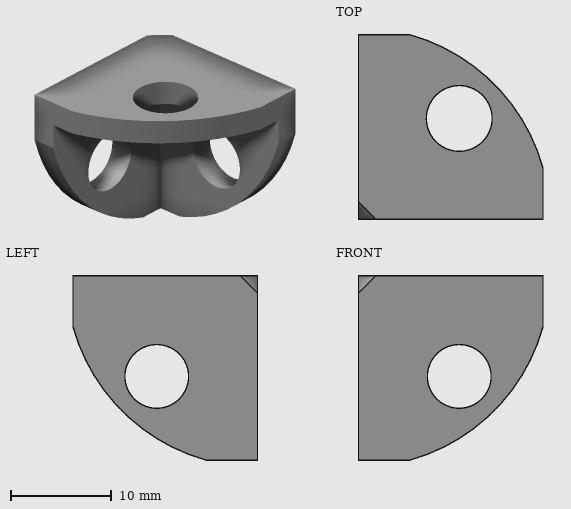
import cadquery as cq

side = 18.3
wall = 2.5
rim_radius = 19.0
hole_offset = 10.0
top_hole_diameter = 6.5
side_hole_diameter = 6.3
corner_cut = 1.74

corner = (0, 0, side)
top_plane = cq.Plane(origin=corner, xDir=(0, 1, 0), normal=(0, 0, -1))
front_plane = cq.Plane(origin=corner, xDir=(1, 0, 0), normal=(0, 1, 0))
left_plane = cq.Plane(origin=corner, xDir=(0, 0, -1), normal=(1, 0, 0))


def plate(plane, hole_diameter):
    """Square plate with its far corner rounded off and one through hole."""
    square = cq.Workplane(plane).rect(side, side, centered=False).extrude(wall)
    rim = cq.Workplane(plane).circle(rim_radius).extrude(wall)
    hole = (
        cq.Workplane(plane)
        .center(hole_offset, hole_offset)
        .circle(hole_diameter / 2)
        .extrude(wall)
    )
    return square.intersect(rim).cut(hole)


def corner_tip():
    """Tetrahedron that blunts the outer corner."""
    along_x = cq.Vector(corner_cut, 0, side)
    along_y = cq.Vector(0, corner_cut, side)
    along_z = cq.Vector(0, 0, side - corner_cut)
    apex = cq.Vector(*corner)
    triangles = [
        (along_x, along_y, along_z),
        (apex, along_x, along_y),
        (apex, along_y, along_z),
        (apex, along_z, along_x),
    ]
    faces = [cq.Face.makeFromWires(cq.Wire.makePolygon(points, close=True)) for points in triangles]
    return cq.Workplane(cq.Solid.makeSolid(cq.Shell.makeShell(faces)))


top_plate = plate(top_plane, top_hole_diameter)
front_plate = plate(front_plane, side_hole_diameter)
left_plate = plate(left_plane, side_hole_diameter)
result = top_plate.union(front_plate).union(left_plate).cut(corner_tip())